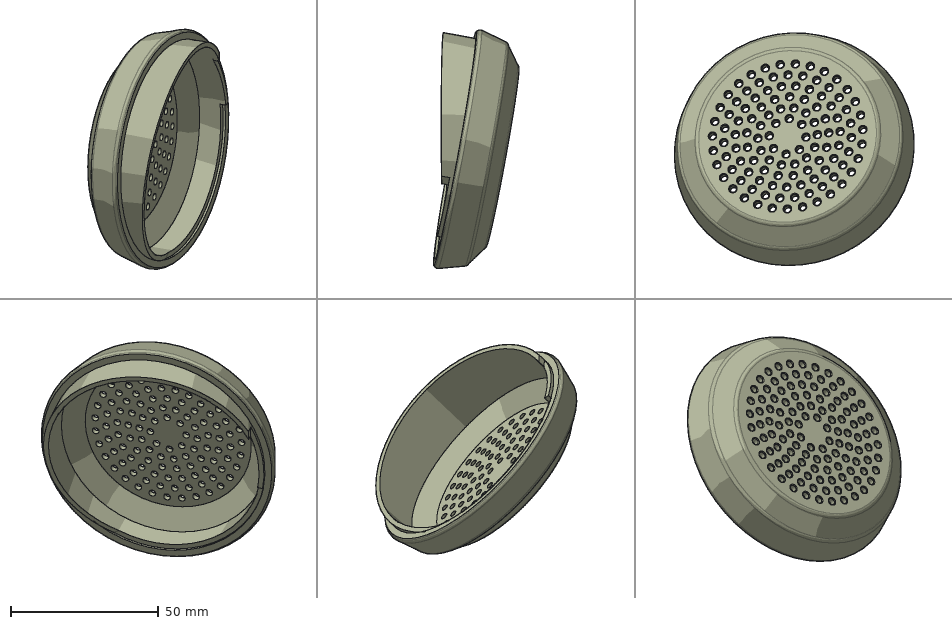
import cadquery as cq
import math


YAW = 20.0
PITCH = 8.6
FACE_CENTRE = (-11.8, -4.64, -2.19)

FACE_EDGE = (30.5, 0.0)
FACE_ROUND_MIDDLE = (31.35, 0.2)
FLARE_START = (31.9, 0.7)
FLARE_END = (37.7, 4.9)
SHOULDER_MIDDLE = (38.35, 5.3)
SIDE_START = (38.7, 5.95)
SIDE_END = (41.15, 14.8)
BACK_ROUND_MIDDLE = (41.1, 15.4)
BACK_ROUND_END = (40.75, 16.0)
RIM_EDGE = (40.4, 16.4)
RIM_HEIGHT = RIM_EDGE[1]

TUBE_RADIUS = 38.0
BORE_RADIUS = 36.25
RECESS_FLOOR = 15.5
WALL = 2.5
CAVITY_FLOOR_RADIUS = FACE_EDGE[0] - WALL / 2
BORE_START_HEIGHT = FLARE_END[1] + WALL

BACK_YAW = 25.27
BACK_PITCH = -1.2
BACK_OFFSET = 7.28
NOTCH_DISTANCE = 32.6
LIP_HEIGHT = 17.7
LIP_END = -4.5

HOLE_DIAMETER = 2.3
HOLE_MOUTH_DIAMETER = 2.9
RINGS = ((8, 6.3), (14, 0.5), (17, 9.4), (23, 6.3), (27, 11.7), (31, 4.4))
FIRST_RING_RADIUS = 6.32
RING_SPACING = 3.9

BLOCK = 200.0


def direction(yaw, pitch):
    """Unit vector raised by pitch from the horizontal and turned by yaw about Z (degrees)."""
    yaw = math.radians(yaw)
    pitch = math.radians(pitch)
    return cq.Vector(math.cos(pitch) * math.cos(yaw), math.cos(pitch) * math.sin(yaw), math.sin(pitch))


def tilted_plane(origin, yaw, pitch):
    """Plane whose normal is the given direction and whose X axis is horizontal."""
    return cq.Plane(origin=origin, xDir=direction(yaw + 90, 0), normal=direction(yaw, pitch))


HEAD_PLANE = tilted_plane(FACE_CENTRE, YAW, PITCH)


def in_place(shape):
    """Move a shape from the head's own frame to its final position."""
    return cq.Workplane(obj=shape.val().moved(HEAD_PLANE.location))


def revolved(profile):
    """Turn a closed XZ profile once around the head axis."""
    return profile.close().revolve(360, (0, 0, 0), (0, 1, 0))


def make_body():
    profile = (
        cq.Workplane("XZ")
        .lineTo(*FACE_EDGE)
        .threePointArc(FACE_ROUND_MIDDLE, FLARE_START)
        .lineTo(*FLARE_END)
        .threePointArc(SHOULDER_MIDDLE, SIDE_START)
        .lineTo(*SIDE_END)
        .threePointArc(BACK_ROUND_MIDDLE, BACK_ROUND_END)
        .lineTo(*RIM_EDGE)
        .lineTo(TUBE_RADIUS, RIM_HEIGHT)
        .lineTo(TUBE_RADIUS, RECESS_FLOOR)
        .lineTo(0, RECESS_FLOOR)
    )
    return revolved(profile)


def make_cavity():
    profile = (
        cq.Workplane("XZ")
        .moveTo(0, WALL)
        .lineTo(CAVITY_FLOOR_RADIUS, WALL)
        .lineTo(BORE_RADIUS, BORE_START_HEIGHT)
        .lineTo(BORE_RADIUS, BLOCK)
        .lineTo(0, BLOCK)
    )
    return revolved(profile)


def make_tube():
    """Tube behind the rim, notched on one side and ended by the slanted plane."""
    tube = cq.Workplane("XY", origin=(0, 0, RECESS_FLOOR)).circle(TUBE_RADIUS).extrude(BLOCK)
    notch = cq.Workplane("YZ", origin=(NOTCH_DISTANCE, 0, 0)).rect(BLOCK, 2 * BLOCK).extrude(BLOCK)
    end_plane = tilted_plane(direction(BACK_YAW, BACK_PITCH) * BACK_OFFSET, BACK_YAW, BACK_PITCH)
    beyond_end = cq.Workplane(end_plane).rect(2 * BLOCK, 2 * BLOCK).extrude(2 * BLOCK)
    return in_place(tube.cut(notch)).cut(beyond_end)


def make_lip():
    """Low piece of tube wall left standing across part of the notch."""
    lip_thickness = LIP_HEIGHT - RECESS_FLOOR
    lip = cq.Workplane("XY", origin=(0, 0, RECESS_FLOOR)).circle(TUBE_RADIUS).extrude(lip_thickness)
    kept = (
        cq.Workplane("XY")
        .moveTo(NOTCH_DISTANCE, LIP_END)
        .lineTo(BLOCK, LIP_END)
        .lineTo(BLOCK, BLOCK)
        .lineTo(NOTCH_DISTANCE, BLOCK)
        .close()
        .extrude(BLOCK)
    )
    return lip.intersect(kept)


def make_holes():
    """Spray holes through the face plate, each with a small conical mouth."""
    radius = HOLE_DIAMETER / 2
    mouth_radius = HOLE_MOUTH_DIAMETER / 2
    profile = (
        cq.Workplane("XZ")
        .lineTo(mouth_radius, 0)
        .lineTo(radius, mouth_radius - radius)
        .lineTo(radius, WALL)
        .lineTo(0, WALL)
    )
    hole = revolved(profile).val()
    holes = []
    for ring, (count, first_angle) in enumerate(RINGS):
        ring_radius = FIRST_RING_RADIUS + ring * RING_SPACING
        for index in range(count):
            angle = math.radians(first_angle + index * 360 / count)
            centre = cq.Vector(ring_radius * math.cos(angle), ring_radius * math.sin(angle), 0)
            holes.append(hole.translate(centre))
    return cq.Workplane(obj=cq.Compound.makeCompound(holes))


result = (
    in_place(make_body())
    .union(make_tube())
    .union(in_place(make_lip()))
    .cut(in_place(make_cavity()))
    .cut(in_place(make_holes()))
)